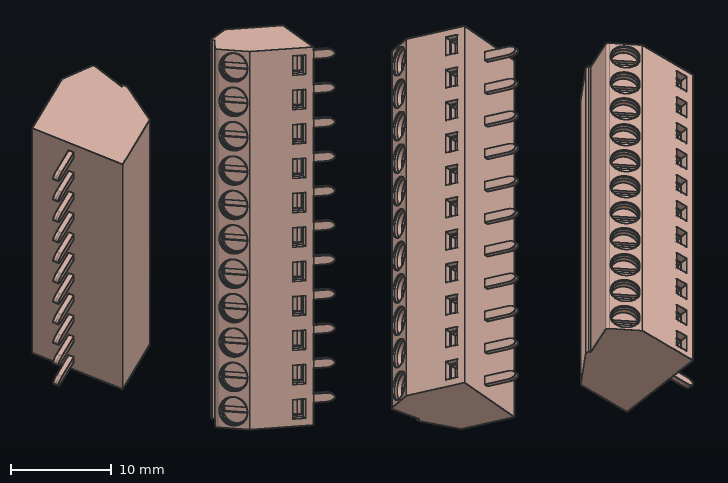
import cadquery as cq
import math

POLES = 11
LENGTH = 38.5
PITCH = LENGTH / POLES

WIDTH = 10.0
SHOULDER_Y = 6.65
RIDGE_X = 2.08
RIDGE_Y = 9.6
RIDGE_RADIUS = 0.4
STEP_X = 5.75
STEP_LOW_Y = 8.47
STEP_HIGH_Y = 8.7
STEP_FLAT = 0.5
BACK_Y = 6.1

SCREW_Y = 8.05
SCREW_MOUTH_DIAMETER = 2.93
SCREW_BORE_DIAMETER = 2.75
SCREW_CONE_START = 0.2
SCREW_CONE_END = 0.42
SCREW_RECESS = 0.92
DRIVER_SLOT_LENGTH = 2.65
DRIVER_SLOT_WIDTH = 0.58
DRIVER_SLOT_DEPTH = 0.35

ENTRY_Y = 1.5
ENTRY_WIDTH = 1.3
ENTRY_HEIGHT = 1.95
ENTRY_DEPTH = 0.8
ENTRY_LEDGE = 0.2
LOWER_LEDGE = 0.08
INNER_DEPTH = 0.4
RAMP_START_Y = 1.3
RAMP_ANGLE = 30.0

PIN_X = 4.3
PIN_THICKNESS = 0.58
PIN_WIDTH = 0.9
PIN_LENGTH = 3.5
PIN_TIP = 0.9


def make_housing():
    """Extrude the profile along Z and round the ridge."""
    profile = [
        (0, 0),
        (WIDTH, 0),
        (WIDTH, BACK_Y),
        (STEP_X + STEP_FLAT, STEP_HIGH_Y),
        (STEP_X, STEP_HIGH_Y),
        (STEP_X, STEP_LOW_Y),
        (RIDGE_X, RIDGE_Y),
        (0, SHOULDER_Y),
    ]
    body = cq.Workplane("XY").polyline(profile).close().extrude(LENGTH)
    ridge = cq.selectors.NearestToPointSelector((RIDGE_X, RIDGE_Y, LENGTH / 2))
    return body.edges(ridge).fillet(RIDGE_RADIUS)


def make_screw_recess(z):
    """Round recess that narrows below its mouth, with a driver slot across its floor."""
    rise = RIDGE_Y - SHOULDER_Y
    face_length = math.hypot(RIDGE_X, rise)
    outward = (-rise / face_length, RIDGE_X / face_length, 0)
    along_face = (RIDGE_X / face_length, rise / face_length, 0)
    screw_x = RIDGE_X * (SCREW_Y - SHOULDER_Y) / rise
    face = cq.Workplane(cq.Plane((screw_x, SCREW_Y, z), along_face, outward))

    mouth_radius = SCREW_MOUTH_DIAMETER / 2
    bore_radius = SCREW_BORE_DIAMETER / 2
    slot_bottom = SCREW_RECESS + DRIVER_SLOT_DEPTH

    mouth = face.circle(mouth_radius).extrude(-SCREW_CONE_START)
    cone = (
        face.workplane(offset=-SCREW_CONE_START)
        .circle(mouth_radius)
        .workplane(offset=SCREW_CONE_START - SCREW_CONE_END)
        .circle(bore_radius)
        .loft()
    )
    bore = face.circle(bore_radius).extrude(-SCREW_RECESS)
    slot_bar = face.rect(DRIVER_SLOT_LENGTH, DRIVER_SLOT_WIDTH).extrude(-slot_bottom)
    slot = face.circle(DRIVER_SLOT_LENGTH / 2).extrude(-slot_bottom).intersect(slot_bar)
    return mouth.union(cone).union(bore).union(slot)


def make_wire_entry(z):
    """Rectangular entry with a ledge around a deeper pocket that has a ramped floor."""
    outer = cq.Workplane("XY").box(
        ENTRY_DEPTH, ENTRY_WIDTH, ENTRY_HEIGHT, centered=(False, True, True)
    ).translate((0, ENTRY_Y, z))

    low_y = ENTRY_Y - ENTRY_WIDTH / 2 + LOWER_LEDGE
    high_y = ENTRY_Y + ENTRY_WIDTH / 2 - ENTRY_LEDGE
    floor_x = ENTRY_DEPTH + INNER_DEPTH
    ramp_end_x = floor_x + (high_y - RAMP_START_Y) * math.tan(math.radians(RAMP_ANGLE))
    inner_height = ENTRY_HEIGHT - 2 * ENTRY_LEDGE
    section = [
        (0, low_y),
        (floor_x, low_y),
        (floor_x, RAMP_START_Y),
        (ramp_end_x, high_y),
        (0, high_y),
    ]
    inner = (
        cq.Workplane("XY", origin=(0, 0, z))
        .polyline(section)
        .close()
        .extrude(inner_height / 2, both=True)
    )
    return outer.union(inner)


def make_pin(z):
    """Flat pin that ends in a half-ellipse tip."""
    straight = PIN_LENGTH - PIN_TIP
    blade = (
        cq.Workplane("XY")
        .box(PIN_THICKNESS, straight, PIN_WIDTH)
        .translate((PIN_X, -straight / 2, z))
    )
    tip = (
        cq.Workplane("YZ", origin=(PIN_X, -straight, z))
        .ellipse(PIN_TIP, PIN_WIDTH / 2)
        .extrude(PIN_THICKNESS / 2, both=True)
    )
    return blade.union(tip)


result = make_housing()
for pole in range(POLES):
    pole_z = (pole + 0.5) * PITCH
    result = result.cut(make_screw_recess(pole_z))
    result = result.cut(make_wire_entry(pole_z))
    result = result.union(make_pin(pole_z))